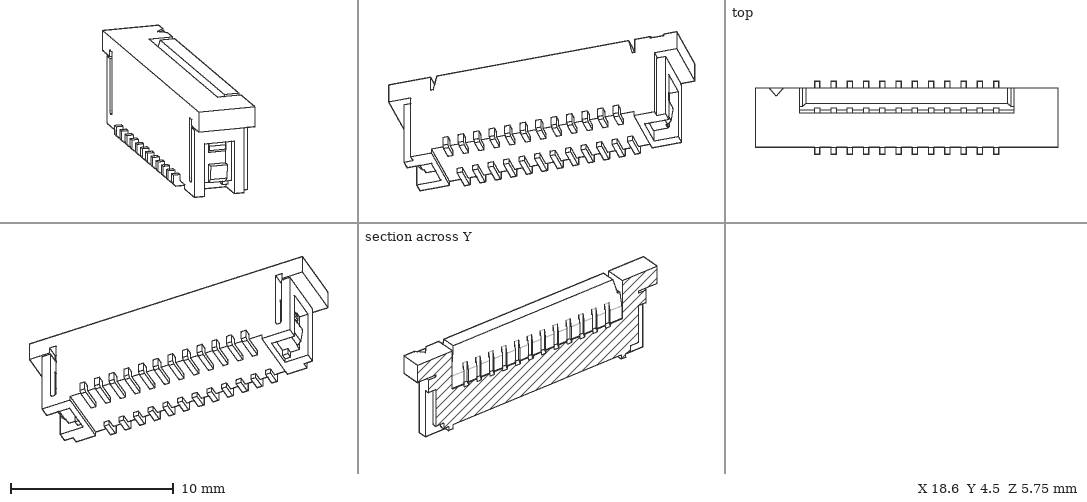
import cadquery as cq


HEAD_LENGTH = 18.6
HEAD_DEPTH = 3.65
TOP_Z = 5.75
HEAD_BOTTOM_Z = 4.46

FRONT_Y = -HEAD_DEPTH / 2
BACK_Y = HEAD_DEPTH / 2
BODY_HALF_LENGTH = 7.87
BODY_BOTTOM_Z = 0.04
RELIEF_HALF_LENGTH = 6.53
RELIEF_TOP_Z = 0.33

WING_END_X = 8.45
WING_TOP_Z = 4.35
WING_BACK_Y = 1.4

CHANNEL_FRONT_Y = -1.15
CHANNEL_BACK_Y = 0.76
CHANNEL_TOP_Z = 3.4
CHANNEL_END_X = 6.88
ARM_FACE_X = 7.81
ARM_FRONT_Y = -1.02
ARM_BACK_Y = 0.39
ARM_BOTTOM_Z = 0.73
LIP_FACE_X = 7.25
LIP_BOTTOM_Z = 0.32

CATCH_FRONT_Y = -0.69
RIDGE_HEIGHT = 0.13
RIDGE_TOP_Z = 3.3
RIDGE_CREST_TOP_Z = 3.07
RIDGE_CREST_BOTTOM_Z = 2.79
RIDGE_BOTTOM_Z = 2.65
LATCH_TOP_Z = 1.88
LATCH_TAPER_END_Z = 0.99
LATCH_HEIGHT = 0.45
LATCH_TAPERED_HEIGHT = 0.32
LATCH_FOOT_HEIGHT = 0.1

SLOT_INNER_X = 7.48
SLOT_HEAD_X = 7.92
SLOT_BOTTOM_Z = 0.82
SLOT_TOP_Z = 4.87

OPENING_HALF_LENGTH = 6.58
OPENING_FRONT_Y = 0.3
OPENING_FLOOR_Z = 2.98
TONGUE_HALF_LENGTH = 6.42
TONGUE_END_BOTTOM_Z = 4.78
TONGUE_BEVEL_BOTTOM_Z = 3.89
TONGUE_FRONT_Y = 0.48
TONGUE_END_BEVEL = 0.22
TONGUE_FRONT_BEVEL = 0.39

GROOVE_BACK_Y = 0.6
GROOVE_BOTTOM_Z = 2.57

PIN_COUNT = 12
PIN_ROW_LENGTH = 11.0
PIN_PITCH = PIN_ROW_LENGTH / (PIN_COUNT - 1)
PIN_WIDTH = 0.33
PIN_TIP_Y = 2.25
PIN_TOP_Z = 0.73
PIN_CHAMFER = 0.15
FRONT_PIN_ROOT_Y = -0.63
BACK_PIN_ROOT_Y = 1.2

MARK_X = -8.02
MARK_WIDTH = 0.9
MARK_LENGTH = 0.5
MARK_DEPTH = 0.11


def block(x_min, x_max, y_min, y_max, z_min, z_max):
    """Box between two opposite corners."""
    size = (x_max - x_min, y_max - y_min, z_max - z_min)
    return cq.Workplane("XY").box(*size, centered=False).translate((x_min, y_min, z_min))


def mirrored_pair(end):
    """A feature at the +X end together with its mirror image."""
    return end.union(end.mirror("YZ"))


def side_prism(points, x_center, width):
    """(y, z) outline extruded along X about x_center."""
    outline = cq.Workplane("YZ", origin=(x_center, 0, 0)).polyline(points).close()
    return outline.extrude(width / 2, both=True)


def pin_positions():
    """X of each pin, the row being centred on the part."""
    return [i * PIN_PITCH - PIN_ROW_LENGTH / 2 for i in range(PIN_COUNT)]


def make_housing():
    half_head = HEAD_LENGTH / 2
    head = block(-half_head, half_head, FRONT_Y, BACK_Y, HEAD_BOTTOM_Z, TOP_Z)
    body = block(-BODY_HALF_LENGTH, BODY_HALF_LENGTH, FRONT_Y, BACK_Y, BODY_BOTTOM_Z, HEAD_BOTTOM_Z)
    wings = block(-WING_END_X, WING_END_X, FRONT_Y, WING_BACK_Y, BODY_BOTTOM_Z, WING_TOP_Z)
    relief = block(-RELIEF_HALF_LENGTH, RELIEF_HALF_LENGTH, FRONT_Y, BACK_Y, BODY_BOTTOM_Z, RELIEF_TOP_Z)
    return head.union(body).union(wings).cut(relief)


def make_channel():
    """Room between the legs of the +X wing, stopping at the stepped face of the latch arm."""
    channel = block(CHANNEL_END_X, WING_END_X, CHANNEL_FRONT_Y, CHANNEL_BACK_Y, BODY_BOTTOM_Z, CHANNEL_TOP_Z)
    arm = block(CHANNEL_END_X, ARM_FACE_X, ARM_FRONT_Y, ARM_BACK_Y, ARM_BOTTOM_Z, CHANNEL_TOP_Z)
    strip = block(CHANNEL_END_X, BODY_HALF_LENGTH, ARM_BACK_Y, CHANNEL_BACK_Y, ARM_BOTTOM_Z, CHANNEL_TOP_Z)
    lip = block(CHANNEL_END_X, LIP_FACE_X, ARM_BACK_Y, CHANNEL_BACK_Y, LIP_BOTTOM_Z, ARM_BOTTOM_Z)
    return channel.cut(arm).cut(strip).cut(lip)


def make_catch(outline):
    """Catch on the +X arm; outline holds (height above the arm face, z) points."""
    points = [(ARM_FACE_X + height, z) for height, z in outline]
    catch = cq.Workplane("XZ", origin=(0, ARM_BACK_Y, 0)).polyline(points).close()
    return catch.extrude(ARM_BACK_Y - CATCH_FRONT_Y)


def make_leg_slot():
    """Round-bottomed slot in the front face at the +X end, wider where it enters the head."""
    width = BODY_HALF_LENGTH - SLOT_INNER_X
    round_center_z = SLOT_BOTTOM_Z + width / 2
    depth = ARM_FRONT_Y - FRONT_Y
    slot = (
        cq.Workplane("XZ", origin=(0, ARM_FRONT_Y, 0))
        .moveTo(SLOT_INNER_X, SLOT_TOP_Z)
        .lineTo(SLOT_INNER_X, round_center_z)
        .threePointArc((SLOT_INNER_X + width / 2, SLOT_BOTTOM_Z), (BODY_HALF_LENGTH, round_center_z))
        .lineTo(BODY_HALF_LENGTH, SLOT_TOP_Z)
        .close()
        .extrude(depth)
    )
    head_notch = block(SLOT_INNER_X, SLOT_HEAD_X, FRONT_Y, ARM_FRONT_Y, HEAD_BOTTOM_Z, SLOT_TOP_Z)
    return slot.union(head_notch)


def make_tongue():
    """Tongue flush with the head, bevelled at its front and standing clear of both end walls."""
    profile = side_prism(
        [
            (BACK_Y, OPENING_FLOOR_Z),
            (TONGUE_FRONT_Y, OPENING_FLOOR_Z),
            (TONGUE_FRONT_Y, TONGUE_BEVEL_BOTTOM_Z),
            (TONGUE_FRONT_Y + TONGUE_FRONT_BEVEL, TOP_Z),
            (BACK_Y, TOP_Z),
        ],
        0,
        2 * OPENING_HALF_LENGTH,
    )
    end_gap = (
        cq.Workplane("XZ", origin=(0, BACK_Y, 0))
        .moveTo(TONGUE_HALF_LENGTH - TONGUE_END_BEVEL, TOP_Z)
        .lineTo(TONGUE_HALF_LENGTH, TONGUE_END_BOTTOM_Z)
        .lineTo(OPENING_HALF_LENGTH, TONGUE_END_BOTTOM_Z)
        .lineTo(OPENING_HALF_LENGTH, TOP_Z)
        .close()
        .extrude(BACK_Y - TONGUE_FRONT_Y)
    )
    return profile.cut(mirrored_pair(end_gap))


def make_groove(x):
    """Contact groove with a steep floor falling from the tongue to the front of the opening."""
    outline = [
        (GROOVE_BACK_Y, TOP_Z),
        (GROOVE_BACK_Y, OPENING_FLOOR_Z),
        (OPENING_FRONT_Y, GROOVE_BOTTOM_Z),
        (OPENING_FRONT_Y, TOP_Z),
    ]
    return side_prism(outline, x, PIN_WIDTH)


def make_pin(x, root_y, tip_y):
    """Solder foot from root_y out to tip_y, chamfered under its tip."""
    outward = 1 if tip_y > root_y else -1
    outline = [
        (root_y, 0),
        (tip_y - outward * PIN_CHAMFER, 0),
        (tip_y, PIN_CHAMFER),
        (tip_y, PIN_TOP_Z),
        (root_y, PIN_TOP_Z),
    ]
    return side_prism(outline, x, PIN_WIDTH)


def make_mark():
    """Shallow V notch in the back edge of the head."""
    half = MARK_WIDTH / 2
    points = [(MARK_X - half, BACK_Y), (MARK_X, BACK_Y - MARK_LENGTH), (MARK_X + half, BACK_Y)]
    return cq.Workplane("XY", origin=(0, 0, TOP_Z)).polyline(points).close().extrude(-MARK_DEPTH)


ridge = make_catch(
    [
        (0, RIDGE_TOP_Z),
        (RIDGE_HEIGHT, RIDGE_CREST_TOP_Z),
        (RIDGE_HEIGHT, RIDGE_CREST_BOTTOM_Z),
        (0, RIDGE_BOTTOM_Z),
    ]
)
latch = make_catch(
    [
        (0, LATCH_TOP_Z),
        (LATCH_HEIGHT, LATCH_TOP_Z),
        (LATCH_TAPERED_HEIGHT, LATCH_TAPER_END_Z),
        (LATCH_FOOT_HEIGHT, ARM_BOTTOM_Z),
        (0, ARM_BOTTOM_Z),
    ]
)
opening = block(
    -OPENING_HALF_LENGTH, OPENING_HALF_LENGTH, OPENING_FRONT_Y, BACK_Y, OPENING_FLOOR_Z, TOP_Z
)

result = (
    make_housing()
    .cut(mirrored_pair(make_channel()))
    .cut(mirrored_pair(make_leg_slot()))
    .union(mirrored_pair(ridge))
    .union(mirrored_pair(latch))
    .cut(opening)
    .union(make_tongue())
    .cut(make_mark())
)
for pin_x in pin_positions():
    result = result.cut(make_groove(pin_x))
    result = result.union(make_pin(pin_x, FRONT_PIN_ROOT_Y, -PIN_TIP_Y))
    result = result.union(make_pin(pin_x, BACK_PIN_ROOT_Y, PIN_TIP_Y))